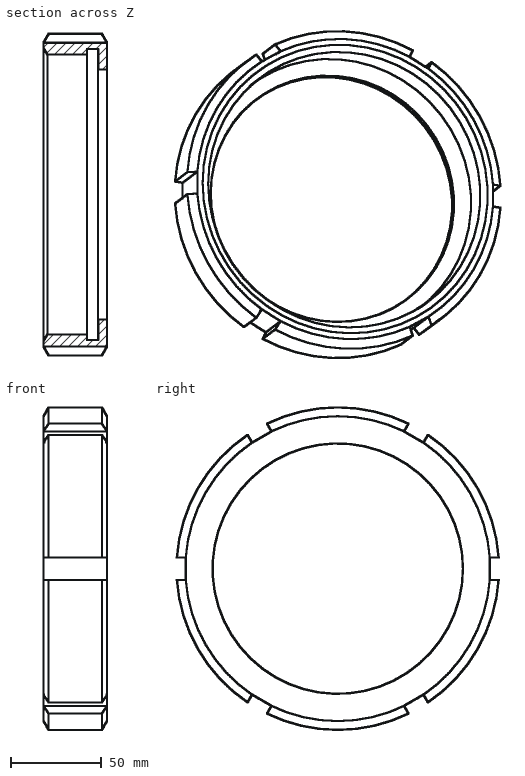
import cadquery as cq
import math

outer_diameter = 178.0
width = 35.0
rim_chamfer_length = 2.8
rim_chamfer_angle = 60.0

bore_diameter = 154.3
lip_diameter = 138.0
lip_thickness = 5.0
relief_diameter = 160.4
relief_width = 6.0
mouth_diameter = 161.6
mouth_chamfer_length = 2.1

slot_count = 6
slot_width = 12.3
slot_floor_radius = 83.8

outer_radius = outer_diameter / 2
face_radius = outer_radius - rim_chamfer_length * math.tan(math.radians(rim_chamfer_angle))
bore_radius = bore_diameter / 2
lip_radius = lip_diameter / 2
relief_radius = relief_diameter / 2
mouth_radius = mouth_diameter / 2

open_face = -width / 2
lip_face = width / 2
lip_shoulder = lip_face - lip_thickness
relief_start = lip_shoulder - relief_width


def make_ring():
    """Revolve the half section (X along the axis, Y as radius) about X."""
    section = [
        (open_face, mouth_radius),
        (open_face, face_radius),
        (open_face + rim_chamfer_length, outer_radius),
        (lip_face - rim_chamfer_length, outer_radius),
        (lip_face, face_radius),
        (lip_face, lip_radius),
        (lip_shoulder, lip_radius),
        (lip_shoulder, relief_radius),
        (relief_start, relief_radius),
        (relief_start, bore_radius),
        (open_face + mouth_chamfer_length, bore_radius),
    ]
    return cq.Workplane("XY").polyline(section).close().revolve(360, (0, 0, 0), (1, 0, 0))


def make_slot_cutter(angle):
    """Block with a flat floor, reaching past the rim, turned about X from +Y."""
    depth = 2 * (outer_radius - slot_floor_radius)
    block = cq.Workplane("XY").box(width, depth, slot_width)
    block = block.translate((0, slot_floor_radius + depth / 2, 0))
    return block.rotate((0, 0, 0), (1, 0, 0), angle)


result = make_ring()
for index in range(slot_count):
    result = result.cut(make_slot_cutter(index * 360 / slot_count))